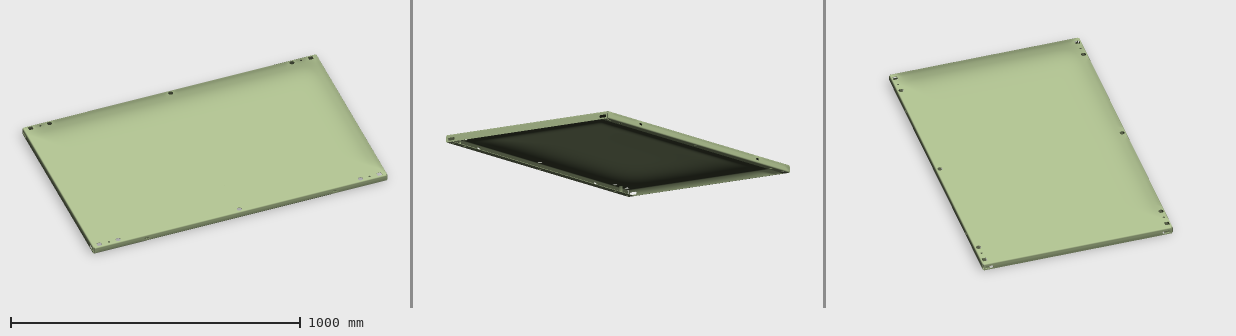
import cadquery as cq

WIDTH = 688.0
LENGTH = 1088.0
HEIGHT = 26.0

SHEET = 1.5
BEND_RADIUS = 4.0
INSIDE_RADIUS = BEND_RADIUS - SHEET
FLANGE_WIDTH = 28.0
CORNER_CLEARANCE = 1.0

COLUMN_X = WIDTH / 2 - 14.0
SLOT_Y = LENGTH / 2 - 26.0
NUT_Y = SLOT_Y - 36.0
BOLT_Y = NUT_Y - 34.0

BOLT_HEAD_DIAMETER = 17.0
BOLT_SHANK_DIAMETER = 10.0

ACCESS_SIZE = 16.0
FLANGE_SLOT_WIDTH = 5.0
FLANGE_SLOT_LENGTH = 15.0

END_SLOT_X = WIDTH / 2 - 23.0
END_SLOT_Z = -3.0
END_SLOT_LENGTH = 29.0
END_SLOT_HEIGHT = 10.0

SIDE_SLOT_Y = 348.0
SIDE_SLOT_LENGTH = 16.0
SIDE_SLOT_HEIGHT = 7.1

NUT_ACROSS_CORNERS = 14.0
NUT_BORE = 8.0

TOP_Z = HEIGHT / 2
FLANGE_Z = SHEET - TOP_Z

SIDES = (-1, 1)
BOLT_POINTS = [(side * COLUMN_X, y) for side in SIDES for y in (-BOLT_Y, 0, BOLT_Y)]
SLOT_POINTS = [(side * COLUMN_X, end * SLOT_Y) for side in SIDES for end in SIDES]
NUT_POINTS = [(side * COLUMN_X, end * NUT_Y) for side in SIDES for end in SIDES]


def block(x_size, y_size, z_size, z_center=0):
    return cq.Workplane("XY", origin=(0, 0, z_center)).box(x_size, y_size, z_size)


def folded_channel():
    """Top sheet folded down along both long sides, then inwards as return flanges."""
    outside = block(WIDTH, LENGTH, HEIGHT).edges("|Y").fillet(BEND_RADIUS)
    inside = block(WIDTH - 2 * SHEET, LENGTH, HEIGHT - 2 * SHEET).edges("|Y").fillet(INSIDE_RADIUS)
    opening = block(WIDTH - 2 * FLANGE_WIDTH, LENGTH, HEIGHT, -TOP_Z)
    channel = outside.cut(inside).cut(opening)

    bend_zone = block(WIDTH, LENGTH - 2 * BEND_RADIUS, HEIGHT)
    wall_length = LENGTH - 2 * (SHEET + CORNER_CLEARANCE)
    wall_zone = block(WIDTH, wall_length, HEIGHT - BEND_RADIUS, -BEND_RADIUS / 2)
    return channel.intersect(bend_zone.union(wall_zone))


def folded_ends():
    """Top sheet folded down at both ends, between the bends of the long sides."""
    outside = block(WIDTH - 2 * BEND_RADIUS, LENGTH, HEIGHT).edges("|X and >Z").fillet(BEND_RADIUS)
    inside = block(WIDTH, LENGTH - 2 * SHEET, HEIGHT, -SHEET).edges("|X and >Z").fillet(INSIDE_RADIUS)
    return outside.cut(inside)


def bolt_holes():
    points = cq.Workplane("XY").pushPoints(BOLT_POINTS)
    heads = points.circle(BOLT_HEAD_DIAMETER / 2).extrude(TOP_Z)
    shanks = points.circle(BOLT_SHANK_DIAMETER / 2).extrude(-TOP_Z)
    return heads.union(shanks)


def corner_slots():
    points = cq.Workplane("XY").pushPoints(SLOT_POINTS)
    openings = points.rect(ACCESS_SIZE, ACCESS_SIZE).extrude(TOP_Z)
    slots = points.slot2D(FLANGE_SLOT_LENGTH, FLANGE_SLOT_WIDTH, 90).extrude(-TOP_Z)
    return openings.union(slots)


def nut_holes():
    return cq.Workplane("XY").pushPoints(NUT_POINTS).polygon(6, NUT_ACROSS_CORNERS).extrude(TOP_Z)


def end_wall_slots():
    points = [(side * END_SLOT_X, END_SLOT_Z) for side in SIDES]
    outline = cq.Workplane("XZ").pushPoints(points).slot2D(END_SLOT_LENGTH, END_SLOT_HEIGHT)
    cutter = outline.extrude(LENGTH / 2, both=True)
    return cutter.cut(block(WIDTH, LENGTH - 2 * SHEET, HEIGHT))


def side_wall_slots():
    points = [(end * SIDE_SLOT_Y, 0) for end in SIDES]
    outline = cq.Workplane("YZ").pushPoints(points).slot2D(SIDE_SLOT_LENGTH, SIDE_SLOT_HEIGHT)
    return outline.extrude(WIDTH / 2, both=True)


def build_panel():
    panel = folded_channel().union(folded_ends())
    for cutter in (bolt_holes(), corner_slots(), nut_holes(), end_wall_slots(), side_wall_slots()):
        panel = panel.cut(cutter)
    return panel


def build_nut(x, y):
    outline = cq.Workplane("XY", origin=(x, y, FLANGE_Z)).polygon(6, NUT_ACROSS_CORNERS)
    return outline.circle(NUT_BORE / 2).extrude(TOP_Z - FLANGE_Z)


panel = build_panel()
nuts = [build_nut(x, y) for x, y in NUT_POINTS]
result = cq.Compound.makeCompound([panel.solids().val(), *[nut.val() for nut in nuts]])